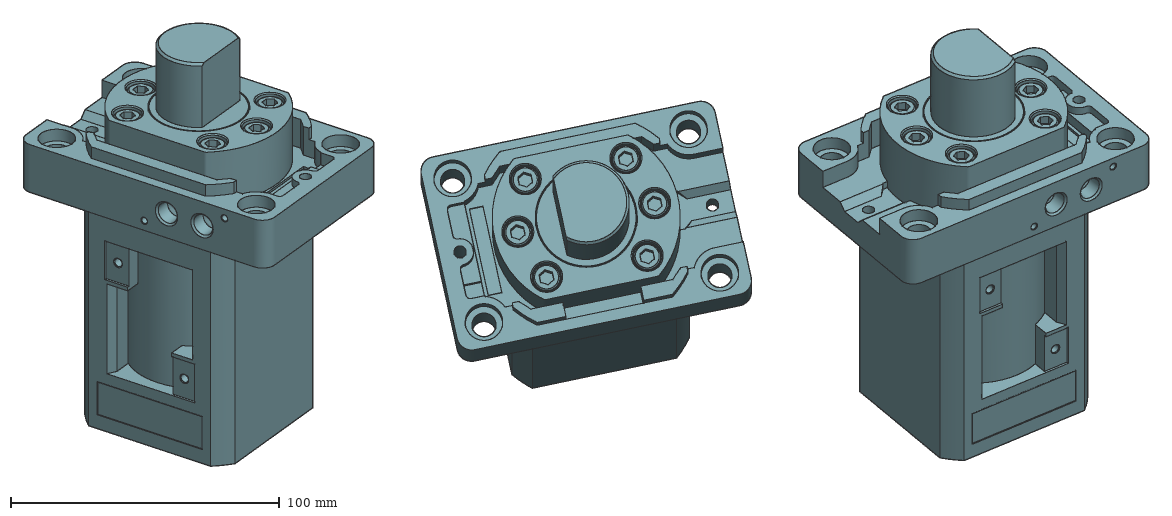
import cadquery as cq
import math

TOTAL_HEIGHT = 157.0
FLANGE_BOTTOM = 94.7
FLANGE_TOP = 115.1
RAIL_TOP = 120.0
CAP_TOP = 129.8
POCKET_FLOOR = 107.7
GROOVE_FLOOR = 104.9

BLOCK_X = 67.7
BLOCK_Y = 65.0
BLOCK_TURNED_RADIUS = 42.5

FLANGE_X = 112.0
FLANGE_Y = 75.0
FLANGE_CORNER_RADIUS = 5.5
MOUNT_X = 44.9
MOUNT_Y = 28.0
MOUNT_HOLE_DIAMETER = 9.0
MOUNT_COUNTERBORE_DIAMETER = 14.0
MOUNT_COUNTERBORE_DEPTH = 5.0
DRAIN_X = 48.0
DRAIN_DIAMETER = 4.5

RAIL_X = 66.5
RAIL_Y = 66.5
RAIL_TURNED_RADIUS = 42.0
POCKET_END_Y = 18.2
POCKET_SHOULDER_Y = 24.0
POCKET_MIDDLE_Y = 27.8
POCKET_SHOULDER_X = 30.8
POCKET_MIDDLE_X = POCKET_SHOULDER_X - (POCKET_MIDDLE_Y - POCKET_SHOULDER_Y)
MOUNT_LAND_RADIUS = MOUNT_Y - POCKET_END_Y
RAIL_GAP_X = 29.7

GROOVE_TOP_HALF = 7.0
GROOVE_FLOOR_HALF = GROOVE_TOP_HALF - (POCKET_FLOOR - GROOVE_FLOOR)
GROOVE_FLARE_X = -39.2
GROOVE_END_X = -33.5
GROOVE_FLARE_HALF = 7.4

SHELF_START_X = 42.4
SHELF_END_X = 49.3
SHELF_FLOOR = 112.0
SHELF_STEP_Y = 12.0
SHELF_STEP_FLOOR = 109.9
SHELF_CORNER_RADIUS = 1.5
DRAIN_BOSS_RADIUS = 5.0
SLOT_X = 38.3
SLOT_WIDTH = 5.2
SLOT_LENGTH = 33.6
SLOT_DEPTH = 1.0

PORT_XS = (11.0, 27.0)
PORT_Z = 104.9
PORT_DIAMETER = 8.5
PORT_MOUTH_DIAMETER = 10.0
PORT_DEPTH = 6.9
TAP_PLACES = ((1.0, 98.8), (37.0, 111.2))
TAP_DIAMETER = 2.5
TAP_MOUTH_DIAMETER = 3.0
TAP_DEPTH = 4.7
DRILL_POINT_ANGLE = 118.0

WINDOW_WIDTH = 38.6
WINDOW_INNER_WIDTH = 34.4
WINDOW_BOTTOM = 24.8
WINDOW_TOP = 81.2
WINDOW_BEVEL_DEPTH = 3.6
BARREL_RADIUS = 27.5
PAD_INNER_X = 9.9
PAD_OUTER_X = 20.3
PAD_HEIGHT = 16.5
PAD_RIM = 1.5
PAD_DEPTH = 1.0
PAD_HOLE_X = 14.9
PAD_HOLE_INSET = 8.2
PAD_HOLE_DIAMETER = 3.3
PAD_HOLE_MOUTH_DIAMETER = 4.0
PAD_HOLE_DEPTH = 4.0
LABEL_WIDTH = 47.3
LABEL_BOTTOM = 6.0
LABEL_TOP = 20.0
LABEL_DEPTH = 0.5

CAP_RADIUS = 35.0
CAP_FLAT_Y = 27.5
CAP_CORNER_RADIUS = 1.5
CAP_BORE_DIAMETER = 38.0
SCREW_PLACES = ((-26.0, 0), (26.0, 0), (-19.2, 19.0), (19.2, 19.0), (-19.2, -19.0), (19.2, -19.0))
SCREW_SEAT_DIAMETER = 11.0
SCREW_SEAT_MOUTH_DIAMETER = 12.0
SCREW_SEAT_DEPTH = 6.9
SCREW_HEAD_DIAMETER = 10.0
SCREW_HEAD_TOP_DIAMETER = 9.0
SCREW_HEAD_DROP = 1.0
SCREW_HEX_FLATS = 5.0
SCREW_HEX_DEPTH = 3.1

ROD_DIAMETER = 32.0
ROD_FLAT_X = 10.0
ROD_CHAMFER = 1.0
ROD_BASE_DIAMETER = 37.0


def upright_box(x_min, x_max, y_min, y_max, z_min, z_max):
    """Box given by its limits along the three axes."""
    size = (x_max - x_min, y_max - y_min, z_max - z_min)
    return cq.Workplane("XY").box(*size, centered=False).translate((x_min, y_min, z_min))


def upright_cylinder(x, y, diameter, z_min, z_max):
    return cq.Workplane("XY", origin=(x, y, z_min)).circle(diameter / 2).extrude(z_max - z_min)


def turned_block(size_x, size_y, radius, z_min, z_max):
    """Rectangular block whose four corners are turned to a common radius about Z."""
    block = upright_box(-size_x / 2, size_x / 2, -size_y / 2, size_y / 2, z_min, z_max)
    return block.intersect(upright_cylinder(0, 0, 2 * radius, z_min, z_max))


def drilled_hole(x, face_y, z, diameter, mouth_diameter, depth):
    """Cutter for a hole drilled along +Y, with a 45 degree mouth and a conical end."""
    radius = diameter / 2
    mouth_radius = mouth_diameter / 2
    point_depth = radius / math.tan(math.radians(DRILL_POINT_ANGLE / 2))
    profile = [
        (0, 0),
        (mouth_radius, 0),
        (radius, mouth_radius - radius),
        (radius, depth),
        (0, depth + point_depth),
    ]
    cutter = cq.Workplane("XY").polyline(profile).close().revolve(360, (0, 0, 0), (0, 1, 0))
    return cutter.translate((x, face_y, z))


def main_pocket():
    """Pocket open to -X that runs between the rails and around the mounting-hole lands."""
    shoulder_dx = math.sqrt(MOUNT_LAND_RADIUS**2 - (MOUNT_Y - POCKET_SHOULDER_Y) ** 2)
    land_end = (MOUNT_X, POCKET_END_Y)
    land_shoulder = (MOUNT_X - shoulder_dx, POCKET_SHOULDER_Y)
    land_middle = (
        MOUNT_X - MOUNT_LAND_RADIUS * math.cos(math.pi / 4),
        MOUNT_Y - MOUNT_LAND_RADIUS * math.sin(math.pi / 4),
    )
    quarter = (
        cq.Workplane("XY", origin=(0, 0, POCKET_FLOOR))
        .lineTo(0, POCKET_MIDDLE_Y)
        .lineTo(POCKET_MIDDLE_X, POCKET_MIDDLE_Y)
        .lineTo(POCKET_SHOULDER_X, POCKET_SHOULDER_Y)
        .lineTo(*land_shoulder)
        .threePointArc(land_middle, land_end)
        .lineTo(MOUNT_X, 0)
        .close()
        .extrude(RAIL_TOP - POCKET_FLOOR)
    )
    half = quarter.union(quarter.mirror("XZ"))
    open_end = upright_box(
        -FLANGE_X / 2, -MOUNT_X, -POCKET_END_Y, POCKET_END_Y, POCKET_FLOOR, RAIL_TOP
    )
    reach = upright_box(
        -FLANGE_X / 2, SHELF_START_X, -FLANGE_Y / 2, FLANGE_Y / 2, POCKET_FLOOR, RAIL_TOP
    )
    return half.union(half.mirror("YZ")).union(open_end).intersect(reach)


def drain_groove():
    """Groove with 45 degree sides along -X that flares where it reaches the cap."""
    groove = (
        cq.Workplane("YZ", origin=(-FLANGE_X / 2, 0, 0))
        .polyline([
            (-GROOVE_FLOOR_HALF, GROOVE_FLOOR),
            (GROOVE_FLOOR_HALF, GROOVE_FLOOR),
            (GROOVE_TOP_HALF, POCKET_FLOOR),
            (-GROOVE_TOP_HALF, POCKET_FLOOR),
        ])
        .close()
        .extrude(FLANGE_X / 2 + GROOVE_END_X)
    )
    flare_end_x = GROOVE_FLARE_X + GROOVE_FLARE_HALF - GROOVE_FLOOR_HALF
    flare = (
        cq.Workplane("XY", origin=(0, 0, GROOVE_FLOOR))
        .polyline([
            (GROOVE_FLARE_X, -GROOVE_FLOOR_HALF),
            (flare_end_x, -GROOVE_FLARE_HALF),
            (GROOVE_END_X, -GROOVE_FLARE_HALF),
            (GROOVE_END_X, GROOVE_FLARE_HALF),
            (flare_end_x, GROOVE_FLARE_HALF),
            (GROOVE_FLARE_X, GROOVE_FLOOR_HALF),
        ])
        .close()
        .extrude(POCKET_FLOOR - GROOVE_FLOOR)
    )
    return groove.union(flare)


def side_shelf():
    """Shallow shelf on +X, stepped near its +Y end and notched around the drain-hole boss."""
    shelf = upright_box(
        SHELF_START_X, SHELF_END_X, -POCKET_END_Y, POCKET_END_Y, SHELF_STEP_FLOOR, FLANGE_TOP
    )
    boss = upright_cylinder(DRAIN_X, 0, 2 * DRAIN_BOSS_RADIUS, SHELF_STEP_FLOOR, FLANGE_TOP)
    shelf = shelf.cut(boss).edges("|Z and >X").fillet(SHELF_CORNER_RADIUS)
    raised_floor = upright_box(
        SHELF_START_X, SHELF_END_X, -POCKET_END_Y, SHELF_STEP_Y, SHELF_STEP_FLOOR, SHELF_FLOOR
    )
    return shelf.cut(raised_floor)


def front_window():
    """Window down to the barrel, with bevelled sides and two corner blocks left for screws."""
    front_y = -BLOCK_Y / 2
    outer = WINDOW_WIDTH / 2
    inner = WINDOW_INNER_WIDTH / 2
    bevel_y = front_y + WINDOW_BEVEL_DEPTH
    height = WINDOW_TOP - WINDOW_BOTTOM
    window = (
        cq.Workplane("XY", origin=(0, 0, WINDOW_BOTTOM))
        .polyline([
            (-outer, front_y),
            (outer, front_y),
            (inner, bevel_y),
            (inner, 0),
            (-inner, 0),
            (-inner, bevel_y),
        ])
        .close()
        .extrude(height)
    )
    window = window.cut(upright_cylinder(0, 0, 2 * BARREL_RADIUS, WINDOW_BOTTOM, WINDOW_TOP))
    block_height = PAD_HEIGHT + PAD_RIM
    block = upright_box(PAD_INNER_X, outer, front_y, 0, WINDOW_BOTTOM, WINDOW_BOTTOM + block_height)
    return window.cut(block).cut(opposite_corner(block))


def opposite_corner(shape):
    """Copy of a shape turned half round about the centre of the window."""
    centre_z = (WINDOW_BOTTOM + WINDOW_TOP) / 2
    return shape.rotate((0, 0, centre_z), (0, 1, centre_z), 180)


def screw_pads():
    """Shallow seats with a threaded hole at two opposite corners of the window."""
    front_y = -BLOCK_Y / 2
    seat_y = front_y + PAD_DEPTH
    seat = upright_box(
        PAD_INNER_X, PAD_OUTER_X, front_y, seat_y, WINDOW_BOTTOM, WINDOW_BOTTOM + PAD_HEIGHT
    )
    hole = drilled_hole(
        PAD_HOLE_X,
        seat_y,
        WINDOW_BOTTOM + PAD_HOLE_INSET,
        PAD_HOLE_DIAMETER,
        PAD_HOLE_MOUTH_DIAMETER,
        PAD_HOLE_DEPTH,
    )
    pad = seat.union(hole)
    return pad.union(opposite_corner(pad))


def cap_blank():
    """Solid outline of the cap: a disc with two flats and softened corners."""
    flats = upright_box(-CAP_RADIUS, CAP_RADIUS, -CAP_FLAT_Y, CAP_FLAT_Y, GROOVE_FLOOR, CAP_TOP)
    disc = upright_cylinder(0, 0, 2 * CAP_RADIUS, GROOVE_FLOOR, CAP_TOP)
    return disc.intersect(flats).edges("|Z").edges(">Y or <Y").fillet(CAP_CORNER_RADIUS)


def make_housing():
    flange = (
        cq.Workplane("XY", origin=(0, 0, FLANGE_BOTTOM))
        .rect(FLANGE_X, FLANGE_Y)
        .extrude(FLANGE_TOP - FLANGE_BOTTOM)
        .edges("|Z")
        .fillet(FLANGE_CORNER_RADIUS)
    )
    housing = turned_block(BLOCK_X, BLOCK_Y, BLOCK_TURNED_RADIUS, 0, FLANGE_BOTTOM).union(flange)
    housing = housing.union(turned_block(RAIL_X, RAIL_Y, RAIL_TURNED_RADIUS, FLANGE_TOP, RAIL_TOP))

    housing = housing.cut(main_pocket()).cut(drain_groove()).cut(side_shelf()).cut(cap_blank())
    rail_gap = upright_box(-RAIL_GAP_X / 2, RAIL_GAP_X / 2, 0, RAIL_Y / 2, POCKET_FLOOR, RAIL_TOP)
    slot = upright_box(
        SLOT_X - SLOT_WIDTH / 2,
        SLOT_X + SLOT_WIDTH / 2,
        -SLOT_LENGTH / 2,
        SLOT_LENGTH / 2,
        POCKET_FLOOR - SLOT_DEPTH,
        POCKET_FLOOR,
    )
    housing = housing.cut(rail_gap).cut(slot)

    for side_x in (-1, 1):
        drain_x = side_x * DRAIN_X
        housing = housing.cut(upright_cylinder(drain_x, 0, DRAIN_DIAMETER, FLANGE_BOTTOM, FLANGE_TOP))
        for side_y in (-1, 1):
            x = side_x * MOUNT_X
            y = side_y * MOUNT_Y
            seat_z = FLANGE_TOP - MOUNT_COUNTERBORE_DEPTH
            housing = housing.cut(upright_cylinder(x, y, MOUNT_HOLE_DIAMETER, FLANGE_BOTTOM, FLANGE_TOP))
            housing = housing.cut(upright_cylinder(x, y, MOUNT_COUNTERBORE_DIAMETER, seat_z, FLANGE_TOP))

    flange_front = -FLANGE_Y / 2
    for x in PORT_XS:
        port = drilled_hole(x, flange_front, PORT_Z, PORT_DIAMETER, PORT_MOUTH_DIAMETER, PORT_DEPTH)
        housing = housing.cut(port)
    for x, z in TAP_PLACES:
        tap = drilled_hole(x, flange_front, z, TAP_DIAMETER, TAP_MOUTH_DIAMETER, TAP_DEPTH)
        housing = housing.cut(tap)

    block_front = -BLOCK_Y / 2
    label = upright_box(
        -LABEL_WIDTH / 2,
        LABEL_WIDTH / 2,
        block_front,
        block_front + LABEL_DEPTH,
        LABEL_BOTTOM,
        LABEL_TOP,
    )
    return housing.cut(front_window()).cut(screw_pads()).cut(label)


def screw_seat():
    """Ring-shaped cutter that leaves a socket screw head standing in its counterbore."""
    mouth_depth = (SCREW_SEAT_MOUTH_DIAMETER - SCREW_SEAT_DIAMETER) / 2
    head_top = CAP_TOP - SCREW_HEAD_DROP
    seat_z = CAP_TOP - SCREW_SEAT_DEPTH
    seat = upright_cylinder(0, 0, SCREW_SEAT_DIAMETER, seat_z, CAP_TOP)
    mouth = cq.Workplane("XY").add(
        cq.Solid.makeCone(
            SCREW_SEAT_DIAMETER / 2,
            SCREW_SEAT_MOUTH_DIAMETER / 2,
            mouth_depth,
            pnt=(0, 0, CAP_TOP - mouth_depth),
        )
    )
    head = (
        upright_cylinder(0, 0, SCREW_HEAD_DIAMETER, seat_z, head_top)
        .faces(">Z")
        .chamfer((SCREW_HEAD_DIAMETER - SCREW_HEAD_TOP_DIAMETER) / 2)
    )
    hexagon = (
        cq.Workplane("XY", origin=(0, 0, head_top - SCREW_HEX_DEPTH))
        .transformed(rotate=(0, 0, 90))
        .polygon(6, SCREW_HEX_FLATS / math.cos(math.pi / 6))
        .extrude(SCREW_HEX_DEPTH)
    )
    return mouth.union(seat).cut(head).union(hexagon)


def make_cap():
    cap = cap_blank().cut(upright_cylinder(0, 0, CAP_BORE_DIAMETER, GROOVE_FLOOR, CAP_TOP))
    for x, y in SCREW_PLACES:
        cap = cap.cut(screw_seat().translate((x, y, 0)))
    return cap


def make_rod():
    base = upright_cylinder(0, 0, ROD_BASE_DIAMETER, GROOVE_FLOOR, CAP_TOP)
    shaft = upright_cylinder(0, 0, ROD_DIAMETER, CAP_TOP, TOTAL_HEIGHT).faces(">Z").chamfer(ROD_CHAMFER)
    flat = upright_box(ROD_FLAT_X, ROD_DIAMETER, -ROD_DIAMETER, ROD_DIAMETER, CAP_TOP, TOTAL_HEIGHT)
    return base.union(shaft.cut(flat))


housing = make_housing()
cap = make_cap()
rod = make_rod()

result = cq.Compound.makeCompound([part.solids().val() for part in (housing, cap, rod)])